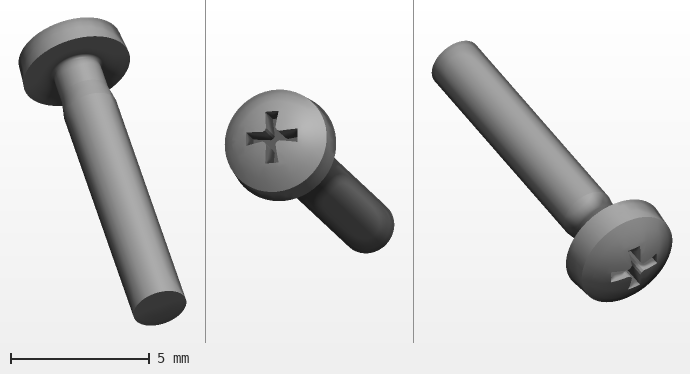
import cadquery as cq
import math

total_length = 12.58
dome_rim_x = 0.64
head_back_x = 1.59
neck_end_x = 2.69
taper_end_x = 3.4

head_radius = 2.0
dome_rim_radius = 1.91
neck_radius = 0.88
shank_radius = 1.0
neck_fillet = 0.11
apex_x = -0.019

arm_length = 0.97
arm_end_half_width = 0.25
arm_root_half_width = 0.18
arm_root_distance = 0.31
corner_ridge_offset = 0.23
recess_floor_x = 1.13
cutter_overshoot = 0.13

dome_height = dome_rim_x - apex_x
dome_radius = (dome_rim_radius**2 + dome_height**2) / (2 * dome_height)
dome_centre_x = apex_x + dome_radius


def dome_x(radius):
    """Axial position of the dome surface at a distance from the axis."""
    return dome_centre_x - math.sqrt(dome_radius**2 - radius**2)


def turned_body():
    """Domed head, filleted neck, taper and plain shank as one revolved profile."""
    fillet_mid = neck_fillet * (1 - math.sqrt(0.5))
    mid_radius = dome_rim_radius / 2
    profile = (
        cq.Workplane("XY")
        .moveTo(apex_x, 0)
        .threePointArc((dome_x(mid_radius), mid_radius), (dome_rim_x, dome_rim_radius))
        .lineTo(head_back_x, head_radius)
        .lineTo(head_back_x, neck_radius + neck_fillet)
        .threePointArc(
            (head_back_x + fillet_mid, neck_radius + fillet_mid),
            (head_back_x + neck_fillet, neck_radius),
        )
        .lineTo(neck_end_x, neck_radius)
        .lineTo(taper_end_x, shank_radius)
        .lineTo(total_length, shank_radius)
        .lineTo(total_length, 0)
        .close()
    )
    return profile.revolve(360, (0, 0, 0), (1, 0, 0))


def cross_recess():
    """Cross-shaped cutter with arms that widen outward and two flats at each inner corner."""
    outline = []
    for quarter in range(4):
        angle = quarter * math.pi / 2
        for along, across in (
            (arm_length, -arm_end_half_width),
            (arm_length, arm_end_half_width),
            (arm_root_distance, arm_root_half_width),
            (corner_ridge_offset, corner_ridge_offset),
            (arm_root_half_width, arm_root_distance),
        ):
            outline.append((
                along * math.cos(angle) - across * math.sin(angle),
                along * math.sin(angle) + across * math.cos(angle),
            ))
    start_x = apex_x - cutter_overshoot
    return (
        cq.Workplane("YZ", origin=(start_x, 0, 0))
        .polyline(outline)
        .close()
        .extrude(recess_floor_x - start_x)
    )


result = turned_body().cut(cross_recess())